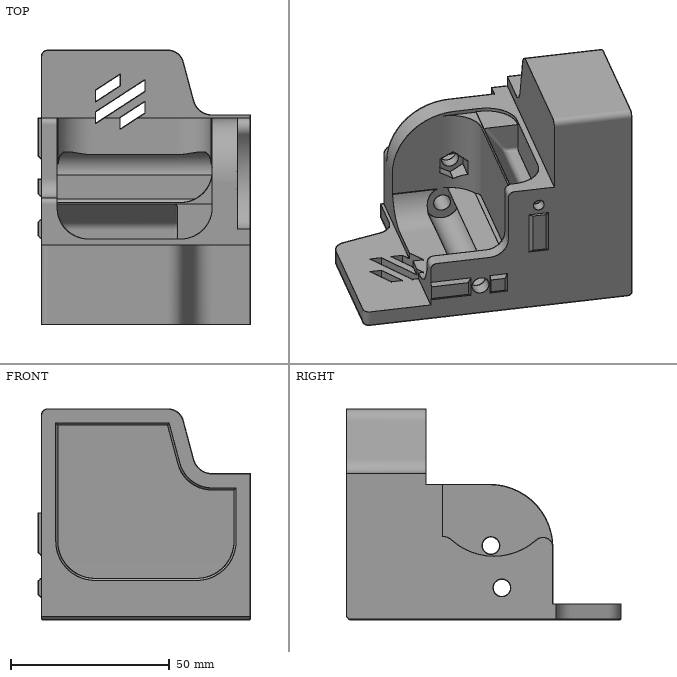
import cadquery as cq
import math

WIDTH = 66.0
DEPTH = 86.7
HEIGHT = 66.7
BLOCK_DEPTH = 25.1
BODY_REAR = 65.2
BODY_TOP = 42.8
BODY_REAR_RADIUS = 20.0
PLATE_THICKNESS = 5.1
FRONT_CHAMFER = 1.0
EDGE_CHAMFER = 0.35

NOTCH_DROP = 20.5
NOTCH_TOP_X = 43.8
NOTCH_ANGLE = 15.0
NOTCH_OUTER_RADIUS = 5.0
NOTCH_INNER_RADIUS = 6.0
CORNER_RADIUS = 2.0

PANEL_RIM = 4.5
PANEL_BOTTOM = 12.5
PANEL_RADIUS = 12.4
PANEL_CHAMFER = 0.65
PANEL_DEPTH = 1.9
PANEL_CREASE = 17.8
PANEL_TOP_DEPTH = 1.3

WALL = 4.9
CAVITY_RIGHT = 53.9
CAVITY_RADIUS = 10.0
LID_SEAT_Z = 41.8
LEDGE_Z = 41.6
LID_SEAT_FRONT = 27.05
CAVITY_FRONT = 38.6
SHELF_CHAMFER = 1.0
SHELF_EDGE = 47.3
CHANNEL_FLOOR = 7.2
CHANNEL_RADIUS = 10.9

WELL_RIGHT = 43.0
WELL_REAR = 38.1
WELL_FLOOR = 32.5
WELL_RAMP_FOOT = 31.4
WELL_RAMP_RADIUS = 3.0
WELL_SIDE_RADIUS = 1.0

WINDOW_FRONT = 40.05
WINDOW_SILL = 19.9
WINDOW_CORNER_RADIUS = 6.0

BOLT_DIAMETER = 5.5
UPPER_BOLT = (45.6, 23.5)
LOWER_BOLT = (49.1, 10.15)
BORE_DIAMETER = 11.0
NUT_FLATS = 8.3
NUT_DEPTH = 9.5
NUT_SEAT_X = 57.9
PIN_DIAMETER = 3.5
PIN_CENTRE = (30.2, 36.9)
PIN_DEPTH = 4.0

SHELF_Z = LOWER_BOLT[1] + math.sqrt((BORE_DIAMETER / 2) ** 2 - (LOWER_BOLT[0] - SHELF_EDGE) ** 2)

SCOOP_WIDTH = 4.1
SCOOP_FRONT = 30.3
SCOOP_CENTRE_Y = 46.6
SCOOP_RADIUS = 19.9
SCOOP_ANGLE = 42.0
SCOOP_TIP_Z = 22.9

TAB_HEIGHT = 1.0
TAB_WIDTH = 6.3
UPRIGHT_TAB_FRONT = 27.05
UPRIGHT_TAB_Z = (20.3, 33.8)
LONG_TAB_FRONT = 52.2
SHORT_TAB_Y = (40.3, 45.95)

SLOT_LEFT = 17.1
SLOT_COLUMN = 7.8
SLOT_BOTTOM = 63.55
SLOT_PITCH = 6.85
SLOT_HEIGHT = 3.6
SLOT_SLOPE = 0.65

CLEAR = 8.7


def rounded_outline(plane, corners):
    """Closed outline on a plane from (u, v, radius) corners; zero radius is sharp."""
    path = None
    count = len(corners)
    for i, (u, v, radius) in enumerate(corners):
        corner = cq.Vector(u, v)
        to_prev = (cq.Vector(*corners[i - 1][:2]) - corner).normalized()
        to_next = (cq.Vector(*corners[(i + 1) % count][:2]) - corner).normalized()
        half = to_prev.getAngle(to_next) / 2
        start = corner + to_prev * (radius / math.tan(half))
        end = corner + to_next * (radius / math.tan(half))
        bisector = (to_prev + to_next).normalized()
        middle = corner + bisector * (radius / math.sin(half) - radius)
        if path is None:
            path = cq.Workplane(plane).moveTo(start.x, start.y)
        else:
            path = path.lineTo(start.x, start.y)
        if radius > 0:
            path = path.threePointArc((middle.x, middle.y), (end.x, end.y))
    return path.close()


def box(x0, x1, y0, y1, z0, z1):
    return cq.Workplane("XY").box(x1 - x0, y1 - y0, z1 - z0, centered=False).translate((x0, y0, z0))


def cross_cylinder(centre, diameter, x0, x1):
    """Cylinder along X at a (Y, Z) centre."""
    return cq.Workplane("YZ").workplane(offset=x0).center(*centre).circle(diameter / 2).extrude(x1 - x0)


def notched_corners(size):
    """Outline of the block (X, Z) or the plate (X, Y), the second axis running to size."""
    notch_bottom_x = NOTCH_TOP_X + NOTCH_DROP * math.tan(math.radians(NOTCH_ANGLE))
    return [
        (0, 0, 0),
        (WIDTH, 0, 0),
        (WIDTH, size - NOTCH_DROP, 0),
        (notch_bottom_x, size - NOTCH_DROP, NOTCH_INNER_RADIUS),
        (NOTCH_TOP_X, size, NOTCH_OUTER_RADIUS),
        (0, size, CORNER_RADIUS),
    ]


def outer_shell():
    block = rounded_outline("XZ", notched_corners(HEIGHT)).extrude(-BLOCK_DEPTH)
    plate = rounded_outline("XY", notched_corners(DEPTH)).extrude(PLATE_THICKNESS)
    body_corners = [
        (0, 0, 0),
        (BODY_REAR, 0, 0),
        (BODY_REAR, BODY_TOP, BODY_REAR_RADIUS),
        (0, BODY_TOP, 0),
    ]
    body = rounded_outline("YZ", body_corners).extrude(WIDTH)
    shell = block.union(plate).union(body).clean()
    shell = shell.faces("<Z").edges("<Y").chamfer(FRONT_CHAMFER)
    return shell.faces("<Z").edges("not <Y").chamfer(EDGE_CHAMFER)


def panel_pocket():
    angle = math.radians(NOTCH_ANGLE)
    top = HEIGHT - PANEL_RIM
    step = top - NOTCH_DROP
    top_x = NOTCH_TOP_X + PANEL_RIM * (math.tan(angle) - 1 / math.cos(angle))
    corners = [
        (PANEL_RIM, PANEL_BOTTOM, PANEL_RADIUS),
        (WIDTH - PANEL_RIM, PANEL_BOTTOM, PANEL_RADIUS),
        (WIDTH - PANEL_RIM, step, 0),
        (top_x + NOTCH_DROP * math.tan(angle), step, NOTCH_INNER_RADIUS + PANEL_RIM),
        (top_x, top, 0),
        (PANEL_RIM, top, 0),
    ]
    inner = rounded_outline("XZ", corners).offset2D(-PANEL_CHAMFER, "intersection").extrude(-PANEL_DEPTH)
    rim = rounded_outline("XZ", corners).extrude(-PANEL_CHAMFER, taper=45)
    leaning_floor = (
        cq.Workplane("YZ")
        .polyline([(PANEL_DEPTH, PANEL_CREASE), (PANEL_TOP_DEPTH, top), (PANEL_DEPTH, top)])
        .close()
        .extrude(WIDTH)
    )
    return rim.union(inner).cut(leaning_floor)


def lid_seat_outline():
    corners = [
        (WALL, LID_SEAT_FRONT, CAVITY_RADIUS),
        (CAVITY_RIGHT, LID_SEAT_FRONT, CAVITY_RADIUS),
        (CAVITY_RIGHT, DEPTH, 0),
        (WALL, DEPTH, 0),
    ]
    return rounded_outline("XY", corners)


def lid_seat():
    seat = lid_seat_outline().extrude(CLEAR).translate((0, 0, LID_SEAT_Z))
    return seat.union(box(WALL, CAVITY_RIGHT, WELL_REAR, DEPTH, LEDGE_Z, HEIGHT))


def well():
    """Pocket under the lid seat whose rear side is a ramp."""
    corners = [
        (0, BODY_TOP, 0),
        (0, WELL_FLOOR, 0),
        (WELL_RAMP_FOOT, WELL_FLOOR, WELL_RAMP_RADIUS),
        (WELL_REAR, LID_SEAT_Z, 0),
        (WELL_REAR, BODY_TOP, 0),
    ]
    ramp = rounded_outline("YZ", corners).extrude(WELL_RIGHT)
    ramp = ramp.faces(">X").edges("<Z").fillet(WELL_SIDE_RADIUS)
    return ramp.intersect(lid_seat_outline().extrude(HEIGHT))


def main_cavity():
    corners = [
        (WALL, CAVITY_FRONT, 0),
        (CAVITY_RIGHT, CAVITY_FRONT, CAVITY_RADIUS),
        (CAVITY_RIGHT, DEPTH, 0),
        (WALL, DEPTH, 0),
    ]
    cavity = rounded_outline("XY", corners).extrude(HEIGHT).translate((0, 0, SHELF_Z))
    foot = (
        cq.Workplane("YZ")
        .polyline([
            (CAVITY_FRONT, SHELF_Z),
            (CAVITY_FRONT + SHELF_CHAMFER, SHELF_Z),
            (CAVITY_FRONT, SHELF_Z + SHELF_CHAMFER),
        ])
        .close()
        .extrude(WIDTH)
    )
    return cavity.cut(foot)


def rear_channel():
    """Round-bottomed channel from above the lower bolt out to the rear."""
    corners = [
        (WALL, CHANNEL_FLOOR, CHANNEL_RADIUS),
        (CAVITY_RIGHT, CHANNEL_FLOOR, CHANNEL_RADIUS),
        (CAVITY_RIGHT, HEIGHT, 0),
        (WALL, HEIGHT, 0),
    ]
    front = LOWER_BOLT[0]
    return rounded_outline("XZ", corners).extrude(front - DEPTH).translate((0, front, 0))


def wall_window():
    """Opening in the left wall, flaring out with rounded lips at the top and the rear."""
    lip = CORNER_RADIUS
    bend = WINDOW_CORNER_RADIUS
    lip_mid = lip * math.sqrt(0.5)
    bend_gap = bend * (1 - math.sqrt(0.5))
    top_lip = (WINDOW_FRONT - lip, BODY_TOP - lip)
    rear_lip = (BODY_REAR - lip, WINDOW_SILL - lip)
    return (
        cq.Workplane("YZ")
        .moveTo(top_lip[0], BODY_TOP)
        .threePointArc((top_lip[0] + lip_mid, top_lip[1] + lip_mid), (WINDOW_FRONT, top_lip[1]))
        .lineTo(WINDOW_FRONT, WINDOW_SILL + bend)
        .threePointArc((WINDOW_FRONT + bend_gap, WINDOW_SILL + bend_gap), (WINDOW_FRONT + bend, WINDOW_SILL))
        .lineTo(rear_lip[0], WINDOW_SILL)
        .threePointArc((rear_lip[0] + lip_mid, rear_lip[1] + lip_mid), (BODY_REAR, rear_lip[1]))
        .lineTo(BODY_REAR, BODY_TOP)
        .close()
        .extrude(WALL)
    )


def cross_holes():
    upper = cross_cylinder(UPPER_BOLT, BOLT_DIAMETER, -CLEAR, WIDTH + CLEAR)
    lower = cross_cylinder(LOWER_BOLT, BOLT_DIAMETER, -CLEAR, WIDTH + CLEAR)
    bore = cross_cylinder(LOWER_BOLT, BORE_DIAMETER, WALL, CAVITY_RIGHT)
    pin = cross_cylinder(PIN_CENTRE, PIN_DIAMETER, 0, PIN_DEPTH)
    nut_corners = NUT_FLATS / math.cos(math.radians(30))
    nut = (
        cq.Workplane("YZ")
        .workplane(offset=NUT_SEAT_X - NUT_DEPTH)
        .center(*UPPER_BOLT)
        .transformed(rotate=(0, 0, 30))
        .polygon(6, nut_corners)
        .extrude(NUT_DEPTH)
    )
    return upper.union(lower).union(bore).union(pin).union(nut)


def right_scoop():
    """Hollowed step in the right side with a rounded shoulder in front and a rounded tip behind."""
    angle = math.radians(SCOOP_ANGLE)
    half_chord = SCOOP_RADIUS * math.sin(angle)
    front_y = SCOOP_CENTRE_Y - half_chord
    rear_y = SCOOP_CENTRE_Y + half_chord
    tip_radius = (BODY_REAR - rear_y) / (1 + math.sin(angle))
    edge_z = SCOOP_TIP_Z + tip_radius * math.cos(angle)
    bottom_z = edge_z - SCOOP_RADIUS * (1 - math.cos(angle))
    shoulder_radius = (front_y - SCOOP_FRONT) / math.sin(angle)
    shoulder_z = edge_z - shoulder_radius * math.cos(angle)
    tip_y = BODY_REAR - tip_radius
    half = angle / 2
    shoulder_mid = (
        SCOOP_FRONT + shoulder_radius * math.sin(half),
        shoulder_z + shoulder_radius * math.cos(half),
    )
    return (
        cq.Workplane("YZ")
        .workplane(offset=WIDTH - SCOOP_WIDTH)
        .moveTo(SCOOP_FRONT, shoulder_z + shoulder_radius)
        .threePointArc(shoulder_mid, (front_y, edge_z))
        .threePointArc((SCOOP_CENTRE_Y, bottom_z), (rear_y, edge_z))
        .threePointArc((tip_y, SCOOP_TIP_Z + tip_radius), (BODY_REAR, SCOOP_TIP_Z))
        .lineTo(BODY_REAR, BODY_TOP)
        .lineTo(SCOOP_FRONT, BODY_TOP)
        .close()
        .extrude(SCOOP_WIDTH)
    )


def locating_tab(y0, y1, z0, z1, bevelled):
    """Raised tab on the left side; bevelled selects the outer edges that are sloped off."""
    tab = box(-TAB_HEIGHT, WALL / 2, y0, y1, z0, z1)
    return tab.faces("<X").edges(bevelled).chamfer(TAB_HEIGHT)


def diagonal_slots():
    """Three parallel slots, each given by its first column, column count and row offset."""
    slots = cq.Workplane("XY")
    for first, columns, row in ((0, 1, 1), (0, 2, 0), (1, 1, -1)):
        x0 = SLOT_LEFT + first * SLOT_COLUMN
        x1 = x0 + columns * SLOT_COLUMN
        y0 = SLOT_BOTTOM + row * SLOT_PITCH + (x0 - SLOT_LEFT) * SLOT_SLOPE
        y1 = y0 + (x1 - x0) * SLOT_SLOPE
        points = [(x0, y0), (x1, y1), (x1, y1 + SLOT_HEIGHT), (x0, y0 + SLOT_HEIGHT)]
        slots = slots.union(cq.Workplane("XY").polyline(points).close().extrude(CHANNEL_FLOOR + CLEAR))
    return slots


tab_low = LOWER_BOLT[1] - TAB_WIDTH / 2
tab_high = LOWER_BOLT[1] + TAB_WIDTH / 2
tabs = [
    locating_tab(UPRIGHT_TAB_FRONT, UPRIGHT_TAB_FRONT + TAB_WIDTH, *UPRIGHT_TAB_Z, "<Y or >Y or <Z"),
    locating_tab(LONG_TAB_FRONT, BODY_REAR, tab_low, tab_high, "<Y or <Z or >Z"),
    locating_tab(*SHORT_TAB_Y, tab_low, tab_high, "<Y or <Z or >Z"),
]

result = outer_shell()
for tab in tabs:
    result = result.union(tab)
cutters = (
    panel_pocket, lid_seat, well, main_cavity, rear_channel,
    wall_window, cross_holes, right_scoop, diagonal_slots,
)
for cutter in cutters:
    result = result.cut(cutter())